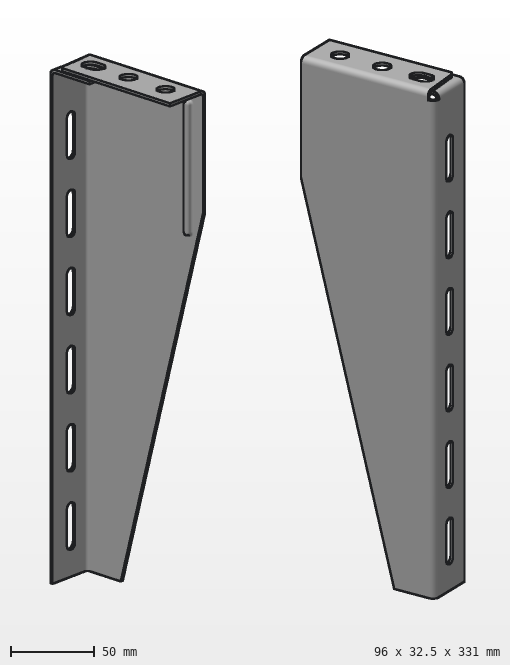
import cadquery as cq

length = 96.0
depth = 32.5
height = 331.0
sheet = 2.0
bend_outer = 4.0
bend_inner = bend_outer - sheet
bend_leg = 5.0

knee_height = 252.5
foot_length = 29.0

flange_depth = 31.0
flange_start_back = 5.0
flange_start_front = 7.0
flange_corner_radius = 3.0
flap_length = 31.8
flap_top = height - sheet
flap_back = -5.0
wall_bend_top = flap_top - bend_outer

hole_diameter = 11.0
hole_y = -15.5
hole_xs = (48.0, 78.0)
oblong_x = 19.5
oblong_length = 15.5
flap_oblong_y = -16.5

slot_count = 6
slot_pitch = 50.0
slot_first_z = 32.5
slot_length = 30.0
slot_width = 7.3
slot_y = -16.2

bead_x = 84.7
bead_bottom = 234.5
bead_top = 323.7
bead_width = 8.0
bead_height = 3.3
bead_foot_radius = 1.62
bead_crest_radius = 1.62


def bent_strip(corner, leg_direction, other_direction, leg, other_leg, width):
    """L-shaped sheet with a rounded bend; the legs start at the sharp outer corner."""
    normal = cq.Vector(*leg_direction).cross(cq.Vector(*other_direction))
    profile = (
        cq.Workplane(cq.Plane(corner, leg_direction, normal))
        .moveTo(bend_outer, 0)
        .lineTo(leg, 0)
        .lineTo(leg, sheet)
        .lineTo(bend_outer, sheet)
        .radiusArc((sheet, bend_outer), bend_inner)
        .lineTo(sheet, other_leg)
        .lineTo(0, other_leg)
        .lineTo(0, bend_outer)
        .radiusArc((bend_outer, 0), -bend_outer)
        .close()
    )
    return profile.extrude(width)


def make_web():
    web_top = height - bend_outer
    outline = [
        (bend_outer, 0),
        (foot_length, 0),
        (length, knee_height),
        (length, web_top),
        (flange_start_back, web_top),
        (flange_start_back, wall_bend_top),
        (bend_outer, wall_bend_top),
    ]
    return cq.Workplane("XZ").polyline(outline).close().extrude(sheet)


def make_wall():
    """Wall with its bend into the web, and the flap folded over from its top."""
    wall = bent_strip((0, 0, 0), (0, -1, 0), (1, 0, 0), depth, bend_leg, wall_bend_top)
    flap_corner = (0, -depth, flap_top)
    flap = bent_strip(flap_corner, (1, 0, 0), (0, 0, -1), flap_length, bend_leg, depth + flap_back)
    return wall.union(flap)


def make_flange():
    """Top flange with a slanted left end, bent down into the web along the back."""
    bottom = height - bend_leg
    fold = bent_strip((0, 0, height), (0, -1, 0), (0, 0, -1), flange_depth, bend_leg, length)
    outline = [
        (flange_start_back, 0),
        (length, 0),
        (length, -flange_depth),
        (flange_start_front, -flange_depth),
        (flange_start_back, -bend_outer),
    ]
    plan = cq.Workplane("XY").workplane(offset=bottom).polyline(outline).close().extrude(bend_leg)
    front_corner = cq.selectors.NearestToPointSelector((flange_start_front, -flange_depth, height - sheet))
    return fold.intersect(plan.edges("|Z").edges(front_corner).fillet(flange_corner_radius))


def add_bead(body):
    """Raise a round-ended bead on the front of the web, blended at its crest and foot."""
    web_front = cq.Workplane("XZ", origin=(bead_x, -sheet, (bead_bottom + bead_top) / 2))
    core_width = bead_width - 2 * bead_foot_radius
    core_length = bead_top - bead_bottom - 2 * bead_foot_radius
    core = web_front.slot2D(core_length, core_width, 90).extrude(bead_height)
    core = core.faces("<Y").edges().fillet(bead_crest_radius)
    foot_zone = cq.selectors.BoxSelector(
        (bead_x - bead_width, -sheet - bead_height / 10, bead_bottom),
        (bead_x + bead_width, -sheet + bead_height / 10, bead_top),
    )
    return body.union(core).edges(foot_zone).fillet(bead_foot_radius)


def top_holes():
    top = cq.Workplane("XY").workplane(offset=height)
    rounds = top.pushPoints([(x, hole_y) for x in hole_xs]).circle(hole_diameter / 2).extrude(-sheet)
    oblong = top.center(oblong_x, hole_y).slot2D(oblong_length, hole_diameter).extrude(-sheet)
    lower = cq.Workplane("XY").workplane(offset=flap_top).center(oblong_x, flap_oblong_y)
    return rounds.union(oblong).union(lower.slot2D(oblong_length, hole_diameter).extrude(-sheet))


def wall_slots():
    centres = [(slot_y, slot_first_z + i * slot_pitch) for i in range(slot_count)]
    return cq.Workplane("YZ").pushPoints(centres).slot2D(slot_length, slot_width, 90).extrude(sheet)


result = make_web().union(make_wall()).union(make_flange()).clean()
result = add_bead(result)
result = result.cut(top_holes()).cut(wall_slots())